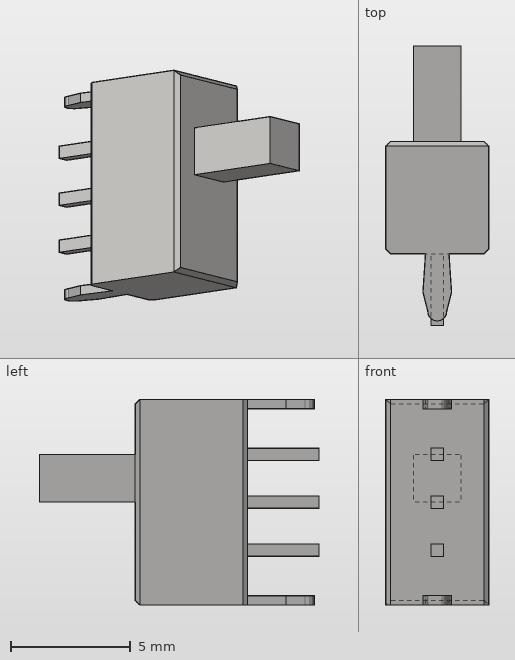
import cadquery as cq

total_length = 11.7
housing_width = 4.3
housing_height = 8.6

pin_length = 3.0
slider_length = 4.0
housing_length = total_length - pin_length - slider_length
housing_chamfer = 0.2

tab_thickness = 0.4
tab_length = 2.8
tab_root_width = 1.0
tab_widest_width = 1.2
tab_widest_reach = 1.6
tab_tip_radius = 0.4

pin_count = 3
pin_pitch = 2.0
pin_side = 0.53

slider_side = 2.0
slider_offset = slider_side / 2


def make_tab(bottom_z):
    """Flat tab that swells from its root, then narrows to a round tip."""
    root = tab_root_width / 2
    widest = tab_widest_width / 2
    tip_start = -(tab_length - tab_tip_radius)
    return (
        cq.Workplane("XY", origin=(0, 0, bottom_z))
        .moveTo(-root, 0)
        .lineTo(-widest, -tab_widest_reach)
        .lineTo(-tab_tip_radius, tip_start)
        .threePointArc((0, -tab_length), (tab_tip_radius, tip_start))
        .lineTo(widest, -tab_widest_reach)
        .lineTo(root, 0)
        .close()
        .extrude(tab_thickness)
    )


def make_housing():
    """Chamfered block with a mounting tab at its top and bottom."""
    block = (
        cq.Workplane("XY")
        .box(housing_width, housing_length, housing_height, centered=(True, False, True))
        .faces(">Y")
        .chamfer(housing_chamfer)
        .faces("<Y")
        .edges("|Z")
        .chamfer(housing_chamfer)
    )
    top_tab = make_tab(housing_height / 2 - tab_thickness)
    bottom_tab = make_tab(-housing_height / 2)
    return block.union(top_tab).union(bottom_tab)


def make_pin(center_z):
    """Square terminal pin standing on the pin face of the housing."""
    return (
        cq.Workplane("XY", origin=(0, -pin_length, center_z))
        .box(pin_side, pin_length, pin_side, centered=(True, False, True))
    )


def make_slider():
    """Square actuator bar standing on the slider face of the housing."""
    return (
        cq.Workplane("XY", origin=(0, housing_length, slider_offset))
        .box(slider_side, slider_length, slider_side, centered=(True, False, True))
    )


housing = make_housing()
slider = make_slider()
pins = []
for index in range(pin_count):
    pin_z = (index - (pin_count - 1) / 2) * pin_pitch
    pins.append(make_pin(pin_z))

result = cq.Compound.makeCompound([housing.val(), slider.val(), *[pin.val() for pin in pins]])